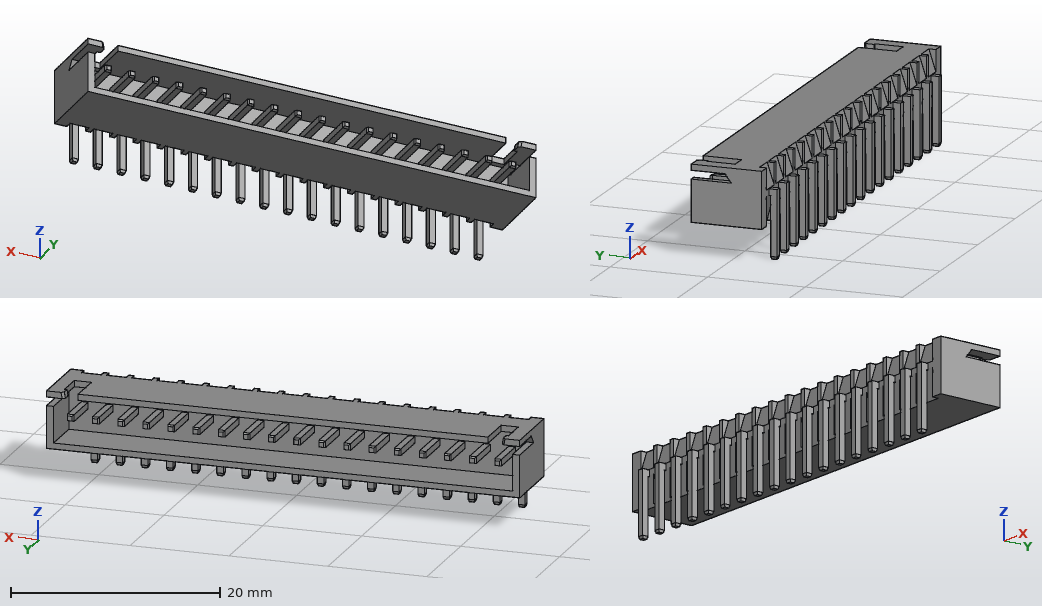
import cadquery as cq
import math

length = 47.85
depth = 7.23
height = 5.8

cavity_depth = 4.55
roof = 0.6
floor = 0.6
end_wall = 0.7

pin_count = 18
pin_row_span = 43.2
pitch = pin_row_span / (pin_count - 1)
pin_size = 0.65
pin_gap = 0.15
pin_drop = 3.45
pin_top = height - 2.25
pin_setback = 0.15
tip_length = 0.3
tip_inset = 0.1

pocket_width = 2.0
pocket_depth = 0.7
upper_pocket_height = 2.2
lower_pocket_height = 2.95

arm_width = 1.5
arm_thickness = roof
roof_slot_width = 1.7
roof_slot_length = 3.9
side_slot_height = 0.85
side_slot_length = 3.45
side_slot_slant = 0.65

catch_length = 1.05
catch_reach_top = 0.25
catch_reach_bottom = 0.36
catch_lead_in = 0.25

pin_positions = [(i - (pin_count - 1) / 2) * pitch for i in range(pin_count)]
arm_inner = length / 2 - arm_width


def block(x, y, z):
    """Box spanning the given (low, high) ranges."""
    size = (x[1] - x[0], y[1] - y[0], z[1] - z[0])
    return cq.Workplane("XY").box(*size, centered=False).translate((x[0], y[0], z[0]))


def side_profile(points, width, center):
    """Prism with a (y, z) outline, centred on x = center."""
    prism = cq.Workplane("YZ").polyline(points).close().extrude(width / 2, both=True)
    return prism.translate((center, 0, 0))


def make_housing():
    housing = block((-length / 2, length / 2), (0, depth), (0, height))
    cavity_half = length / 2 - end_wall
    cavity = block((-cavity_half, cavity_half), (depth - cavity_depth, depth), (floor, height - roof))
    return housing.cut(cavity)


def make_pockets(center):
    """Two wedges that deepen away from the web holding the pin."""
    upper = [(0, height), (pocket_depth, height), (0, height - upper_pocket_height)]
    lower = [(0, 0), (pocket_depth, 0), (0, lower_pocket_height)]
    pockets = side_profile(upper, pocket_width, center)
    return pockets.union(side_profile(lower, pocket_width, center))


def make_side_slots():
    """Slanted-end slot through both end walls, under the arms."""
    top = height - arm_thickness
    bottom = top - side_slot_height
    end = depth - side_slot_length
    outline = [(depth, top), (end, top), (end - side_slot_slant, bottom), (depth, bottom)]
    return side_profile(outline, length, 0)


def make_roof_slot():
    """Slot through the roof on the inner side of the +X arm."""
    x_range = (arm_inner - roof_slot_width, arm_inner)
    return block(x_range, (depth - roof_slot_length, depth), (height - roof, height))


def make_catch():
    """Catch of the +X arm: leaning inner face, and a lead-in at the arm tip."""
    bottom = height - arm_thickness
    outline = [
        (arm_inner, height),
        (arm_inner - catch_reach_top, height),
        (arm_inner - catch_reach_bottom, bottom),
        (arm_inner, bottom),
    ]
    catch = cq.Workplane("XZ", origin=(0, depth, 0)).polyline(outline).close().extrude(catch_length)
    return catch.faces("<X").edges(">Y").chamfer(catch_lead_in)


def add_tip(bar, face):
    """Extend a square bar beyond the given end face with a tapered tip."""
    taper = math.degrees(math.atan(tip_inset / tip_length))
    end = bar.faces(face).workplane(centerOption="CenterOfMass")
    return end.rect(pin_size, pin_size).extrude(tip_length, taper=taper)


def make_pin(center):
    """Right-angle pin: straight contact through the housing and a leg going down."""
    x_range = (center - pin_size / 2, center + pin_size / 2)
    leg_back = -pin_gap
    leg_front = leg_back - pin_size
    contact_end = depth - pin_setback - tip_length
    leg_end = tip_length - pin_drop
    contact = block(x_range, (leg_front, contact_end), (pin_top - pin_size, pin_top))
    leg = block(x_range, (leg_front, leg_back), (leg_end, pin_top))
    return add_tip(contact, ">Y").union(add_tip(leg, "<Z"))


result = make_housing().cut(make_side_slots())

roof_slot = make_roof_slot()
catch = make_catch()
result = result.cut(roof_slot).cut(roof_slot.mirror("YZ"))
result = result.union(catch).union(catch.mirror("YZ"))

for position in pin_positions:
    result = result.cut(make_pockets(position))
for position in pin_positions:
    result = result.union(make_pin(position))